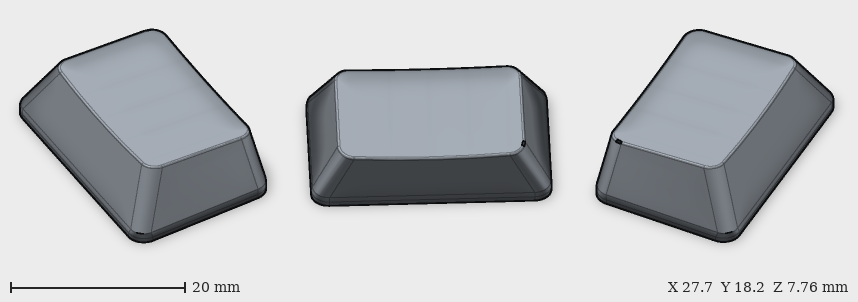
import cadquery as cq
import math

LENGTH = 27.69
WIDTH = 18.16
HEIGHT = 7.76

SKIRT_HEIGHT = 0.65
BAND_TOP = 1.3
BAND_MIDDLE = (SKIRT_HEIGHT + BAND_TOP) / 2

END_LEAN = math.radians(24.8)
FRONT_LEAN = math.radians(27.2)
BACK_LEAN = math.radians(4.8)

SKIRT_CORNER = 2.05
FRONT_CORNER = 1.72
BACK_CORNER = 1.92

TOP_TILT = math.radians(3.2)
TOP_NORMAL = cq.Vector(0, math.sin(TOP_TILT), math.cos(TOP_TILT))
DISH_RADIUS = 130.0
DISH_MID_DROP = 0.675
DISH_MID_Z = HEIGHT - DISH_MID_DROP
TOP_EDGE_RADIUS = 0.3

TRIM_ALLOWANCE = 0.9
BLANK_MID_Z = DISH_MID_Z + TRIM_ALLOWANCE

ARC_MIDDLE = 1 - math.sqrt(0.5)


def wall_inset(lean, z):
    """Distance a wall has moved inward at height z: none, then an arc, then a straight slope."""
    band_radius = (BAND_TOP - SKIRT_HEIGHT) / math.sin(lean)
    if z <= SKIRT_HEIGHT:
        return 0.0
    if z <= BAND_TOP:
        return band_radius - math.sqrt(band_radius**2 - (z - SKIRT_HEIGHT) ** 2)
    return band_radius * (1 - math.cos(lean)) + (z - BAND_TOP) * math.tan(lean)


def rounded_outline(plane, x, front, back, front_corner, back_corner):
    """Closed rounded rectangle on a plane, from -x to x and from front to back."""
    front_cut = front_corner * ARC_MIDDLE
    back_cut = back_corner * ARC_MIDDLE
    outline = (
        cq.Workplane(plane)
        .moveTo(front_corner - x, front)
        .lineTo(x - front_corner, front)
        .threePointArc((x - front_cut, front + front_cut), (x, front + front_corner))
        .lineTo(x, back - back_corner)
        .threePointArc((x - back_cut, back - back_cut), (x - back_corner, back))
        .lineTo(back_corner - x, back)
        .threePointArc((back_cut - x, back - back_cut), (-x, back - back_corner))
        .lineTo(-x, front + front_corner)
        .threePointArc((front_cut - x, front + front_cut), (front_corner - x, front))
        .close()
    )
    return outline.val()


def level_section(z, front_corner, back_corner):
    """Horizontal outline of the cap at height z, up to the top of the band."""
    x = LENGTH / 2 - wall_inset(END_LEAN, z)
    front = -WIDTH / 2 + wall_inset(FRONT_LEAN, z)
    back = WIDTH / 2 - wall_inset(BACK_LEAN, z)
    plane = cq.Plane((0, 0, z), (1, 0, 0), (0, 0, 1))
    return rounded_outline(plane, x, front, back, front_corner, back_corner)


def sloping_section():
    """Outline of the walls on a plane just above the dish that slopes with it, parallel-sided."""
    slope = math.tan(TOP_TILT)
    front_slope = math.tan(FRONT_LEAN)
    back_slope = math.tan(BACK_LEAN)
    front_at_mid = -WIDTH / 2 + wall_inset(FRONT_LEAN, BLANK_MID_Z)
    back_at_mid = WIDTH / 2 - wall_inset(BACK_LEAN, BLANK_MID_Z)
    front = front_at_mid / (1 + slope * front_slope)
    back = back_at_mid / (1 - slope * back_slope)
    x = LENGTH / 2 - wall_inset(END_LEAN, BLANK_MID_Z - front * slope)
    plane = cq.Plane((0, 0, BLANK_MID_Z), (1, 0, 0), TOP_NORMAL.toTuple())
    stretch = 1 / math.cos(TOP_TILT)
    return rounded_outline(plane, x, front * stretch, back * stretch, FRONT_CORNER, BACK_CORNER)


def make_blank():
    """Skirt, rounded band and leaning walls, taller than the finished cap."""
    skirt_top = level_section(SKIRT_HEIGHT, SKIRT_CORNER, SKIRT_CORNER)
    band_middle = level_section(
        BAND_MIDDLE, (SKIRT_CORNER + FRONT_CORNER) / 2, (SKIRT_CORNER + BACK_CORNER) / 2
    )
    band_top = level_section(BAND_TOP, FRONT_CORNER, BACK_CORNER)
    blank_top = sloping_section()

    skirt = cq.Workplane(level_section(0, SKIRT_CORNER, SKIRT_CORNER)).toPending().extrude(SKIRT_HEIGHT)
    band = cq.Solid.makeLoft([skirt_top, band_middle, band_top])
    walls = cq.Solid.makeLoft([band_top, blank_top], True)
    return skirt.union(cq.Workplane(band)).union(cq.Workplane(walls))


def dish_cutter():
    """Cylinder that hollows the top along a sloping front-to-back axis."""
    along = cq.Vector(0, math.cos(TOP_TILT), -math.sin(TOP_TILT))
    centre = cq.Vector(0, 0, DISH_MID_Z) + TOP_NORMAL * DISH_RADIUS
    start = centre - along * WIDTH
    return cq.Workplane(cq.Solid.makeCylinder(DISH_RADIUS, WIDTH * 3, start, along))


def make_cap():
    """Dished cap with a softened top rim."""
    dished = make_blank().cut(dish_cutter())
    return dished.faces(">Z").edges().fillet(TOP_EDGE_RADIUS)


result = make_cap()